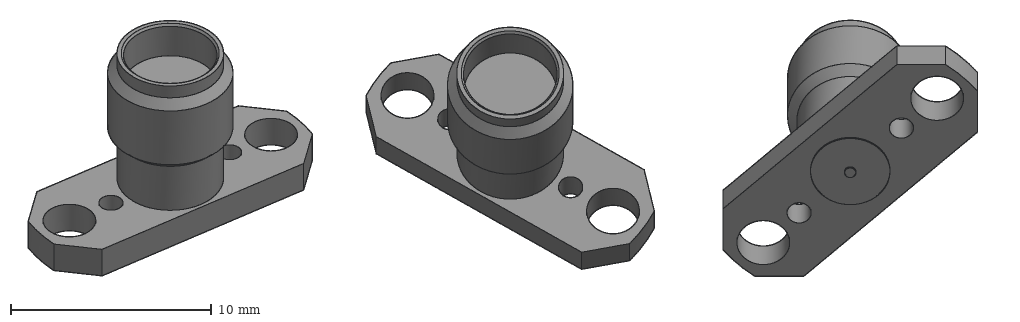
import cadquery as cq
import math

flange_width = 5.71
flange_length = 15.86
flange_height = 1.68
corner_start_y = 6.12

screw_hole_diameter = 2.63
screw_hole_y = 6.12
small_hole_diameter = 1.2
small_hole_y = 3.6

barrel_radius = 2.66
barrel_top = 9.53
collar_radius = 6.26 / 2
collar_chamfer = collar_radius - barrel_radius
collar_bottom = 4.45
collar_top = 8.79

bore_radius = 2.33
bore_depth = 1.97
bore_chamfer = 0.11

insulator_radius = 1.98
insulator_drop = 0.1
pin_radius = 0.29
pin_drop = 0.2


def make_flange():
    """Plate with cut corners and ends rounded about the connector axis."""
    half_width = flange_width / 2
    end_radius = flange_length / 2
    cut_sum = half_width + corner_start_y
    root = math.sqrt(2 * end_radius**2 - cut_sum**2)
    end_x = (cut_sum - root) / 2
    end_y = (cut_sum + root) / 2
    return (
        cq.Workplane("XY")
        .moveTo(half_width, -corner_start_y)
        .lineTo(half_width, corner_start_y)
        .lineTo(end_x, end_y)
        .threePointArc((0, end_radius), (-end_x, end_y))
        .lineTo(-half_width, corner_start_y)
        .lineTo(-half_width, -corner_start_y)
        .lineTo(-end_x, -end_y)
        .threePointArc((0, -end_radius), (end_x, -end_y))
        .close()
        .extrude(flange_height)
    )


def cut_hole_pair(body, diameter, offset_y):
    """Drill a through hole on each side of the connector axis."""
    holes = (
        cq.Workplane("XY")
        .pushPoints([(0, -offset_y), (0, offset_y)])
        .circle(diameter / 2)
        .extrude(flange_height)
    )
    return body.cut(holes)


def make_connector():
    """Revolved barrel, chamfered collar, bore, insulator and pin."""
    profile = [
        (0, -pin_drop),
        (pin_radius, -pin_drop),
        (pin_radius, -insulator_drop),
        (insulator_radius, -insulator_drop),
        (insulator_radius, 0),
        (barrel_radius, 0),
        (barrel_radius, collar_bottom),
        (collar_radius, collar_bottom + collar_chamfer),
        (collar_radius, collar_top - collar_chamfer),
        (barrel_radius, collar_top),
        (barrel_radius, barrel_top),
        (bore_radius + bore_chamfer, barrel_top),
        (bore_radius, barrel_top - bore_chamfer),
        (bore_radius, barrel_top - bore_depth),
        (0, barrel_top - bore_depth),
    ]
    return cq.Workplane("XZ").polyline(profile).close().revolve(360, (0, 0), (0, 1))


flange = make_flange()
flange = cut_hole_pair(flange, screw_hole_diameter, screw_hole_y)
flange = cut_hole_pair(flange, small_hole_diameter, small_hole_y)
result = flange.union(make_connector())